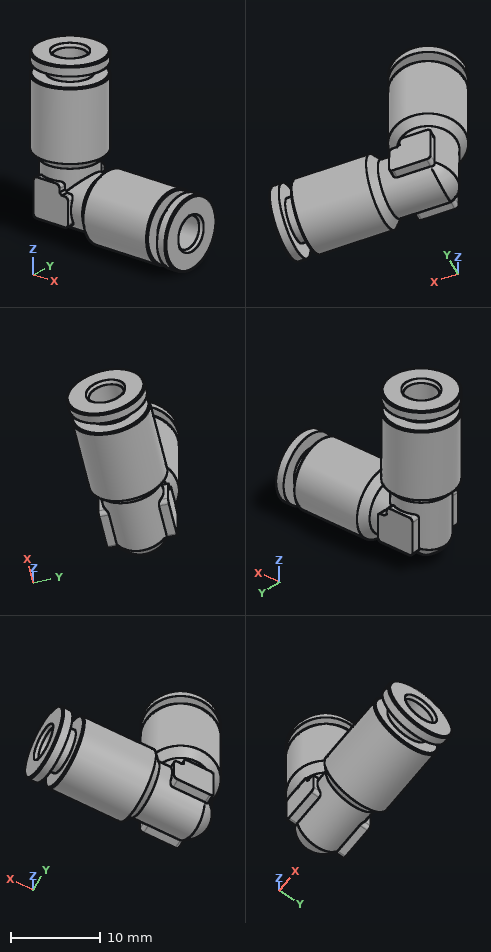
import cadquery as cq

overall_length = 22.0
sleeve_radius = 9.0 / 2
arm_length = overall_length - sleeve_radius

neck_radius = 7.0 / 2
stem_radius = 5.4 / 2
neck_end = 4.62
sleeve_start = neck_end + sleeve_radius - neck_radius
sleeve_end = 14.85
collar_start = 16.25
edge_chamfer = 0.15

tube_bore_radius = 4.0 / 2
flow_bore_radius = 3.0 / 2
mouth_radius = 2.25
mouth_depth = 0.46
tube_bore_bottom = sleeve_start

corner_offset = 0.5

pad_min = -2.02
pad_max = 3.01
pad_half_width = 4.0
pad_fillet = 0.48
notch_edge = 1.75
notch_chamfer = 0.3


def revolve_about_z(points):
    """Revolve an outline of (radius, height) points about the Z axis."""
    outline = cq.Workplane("XZ").polyline(points).close()
    return outline.revolve(360, (0, 0), (0, 1))


def turn_to_x(arm):
    """Turn an arm that lies along +Z so that it lies along +X."""
    return arm.rotate((0, 0, 0), (0, 1, 0), 90)


def make_arm():
    return revolve_about_z([
        (0, -neck_radius),
        (neck_radius, -neck_radius),
        (neck_radius, neck_end),
        (sleeve_radius, sleeve_start),
        (sleeve_radius, sleeve_end - edge_chamfer),
        (sleeve_radius - edge_chamfer, sleeve_end),
        (stem_radius, sleeve_end),
        (stem_radius, collar_start),
        (sleeve_radius, collar_start),
        (sleeve_radius, arm_length - edge_chamfer),
        (sleeve_radius - edge_chamfer, arm_length),
        (0, arm_length),
    ])


def make_bore():
    return revolve_about_z([
        (0, 0),
        (flow_bore_radius, 0),
        (flow_bore_radius, tube_bore_bottom),
        (tube_bore_radius, tube_bore_bottom),
        (tube_bore_radius, arm_length - mouth_depth),
        (mouth_radius, arm_length),
        (0, arm_length),
    ])


def mitre_to_corner(upright_arm):
    """Keep the part of the upright arm above the mitre plane z = x."""
    reach = 2 * arm_length
    above_mitre = (
        cq.Workplane("XZ")
        .polyline([(-reach, -reach), (reach, reach), (-reach, reach)])
        .close()
        .extrude(reach, both=True)
    )
    return upright_arm.intersect(above_mitre)


def make_corner_waste():
    """Material outside the bulged round about the Y axis, in the quadrant -X, -Z."""
    block_size = 2 * neck_radius
    quadrant = cq.Workplane("XY").box(block_size, block_size, block_size, centered=(False, True, False))
    quadrant = quadrant.translate((-block_size, 0, -block_size))
    round_corner = (
        cq.Workplane("XY")
        .moveTo(0, -neck_radius)
        .lineTo(corner_offset, -neck_radius)
        .threePointArc((corner_offset + neck_radius, 0), (corner_offset, neck_radius))
        .lineTo(0, neck_radius)
        .close()
        .revolve(360, (0, 0), (0, 1))
    )
    return quadrant.cut(round_corner)


def make_pads():
    """L-shaped slab whose two ends stand out as pads beside the elbow."""
    slab = (
        cq.Workplane("XZ")
        .moveTo(pad_min, pad_min)
        .lineTo(pad_max, pad_min)
        .lineTo(pad_max, notch_edge)
        .lineTo(notch_edge + notch_chamfer, notch_edge)
        .lineTo(notch_edge, notch_edge + notch_chamfer)
        .lineTo(notch_edge, pad_max)
        .lineTo(pad_min, pad_max)
        .close()
        .extrude(pad_half_width, both=True)
    )
    outer_corners = [
        (pad_min, pad_min),
        (pad_max, pad_min),
        (pad_max, notch_edge),
        (notch_edge, pad_max),
        (pad_min, pad_max),
    ]
    for x, z in outer_corners:
        corner_edge = cq.selectors.NearestToPointSelector((x, 0, z))
        slab = slab.edges("|Y").edges(corner_edge).fillet(pad_fillet)
    return slab


bore = make_bore()
bore_corner = cq.Workplane("XY").sphere(flow_bore_radius)

upright_arm = mitre_to_corner(make_arm())
level_arm = upright_arm.mirror("XY").rotate((0, 0, 0), (0, 1, 0), -90)
body = upright_arm.union(level_arm).cut(make_corner_waste()).union(make_pads())
result = body.cut(bore).cut(turn_to_x(bore)).cut(bore_corner)